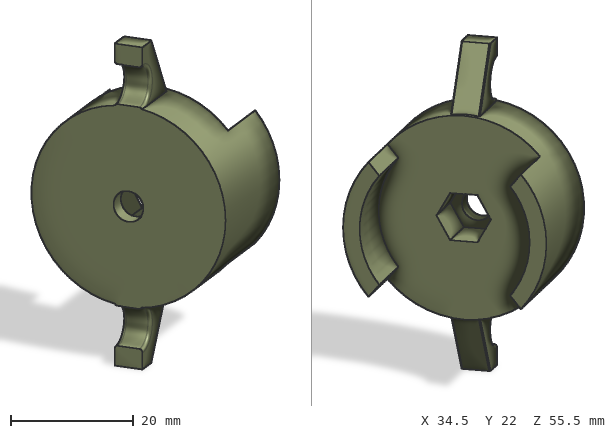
import cadquery as cq
import math

hub_radius = 17.25
wall_thickness = 2.85
inner_radius = hub_radius - wall_thickness
total_depth = 22.0
collar_depth = 10.95
floor_thickness = 2.95
bore_diameter = 5.3
pocket_across_flats = 8.0
jaw_half_height = 11.45
jaw_end_slope = math.radians(50)

ear_tip = 27.75
ear_width = 4.95
ear_tip_depth = 3.95
ear_slope = math.radians(60)
ear_root = 15.8
ear_edge_chamfer = 0.195
notch_radius = 3.45
notch_center = 20.8
notch_edge_radius = 0.55


def cylinder_along_y(radius, start, end):
    return (
        cq.Workplane("XZ", origin=(0, start, 0))
        .circle(radius)
        .extrude(start - end)
    )


def make_hub():
    """Solid collar carrying a hollow ring behind it, with a bore that opens into a hexagonal pocket."""
    hub = cylinder_along_y(hub_radius, 0, total_depth)
    cavity = cylinder_along_y(inner_radius, collar_depth, total_depth)
    bore = cylinder_along_y(bore_diameter / 2, 0, collar_depth)
    pocket = (
        cq.Workplane("XZ", origin=(0, floor_thickness, 0))
        .polygon(6, pocket_across_flats / math.cos(math.radians(30)))
        .extrude(floor_thickness - collar_depth)
    )
    return hub.cut(cavity).cut(bore).cut(pocket)


def make_jaw_gap():
    """Upper wedge that opens the ring, its flanks meeting below the hub axis."""
    corner_x = math.sqrt(hub_radius**2 - jaw_half_height**2)
    apex_z = jaw_half_height - corner_x * math.tan(jaw_end_slope)
    top_z = 2 * hub_radius
    top_x = (top_z - apex_z) / math.tan(jaw_end_slope)
    return (
        cq.Workplane("XZ", origin=(0, collar_depth, 0))
        .polyline([(0, apex_z), (top_x, top_z), (-top_x, top_z)])
        .close()
        .extrude(collar_depth - total_depth)
    )


def make_upper_ear():
    root_depth = ear_tip_depth + (ear_tip - ear_root) / math.tan(ear_slope)
    ear = (
        cq.Workplane("YZ")
        .polyline([(0, ear_root), (0, ear_tip), (ear_tip_depth, ear_tip), (root_depth, ear_root)])
        .close()
        .extrude(ear_width / 2, both=True)
    )
    slope_box = cq.selectors.BoxSelector(
        (-ear_width, ear_tip_depth, ear_root),
        (ear_width, root_depth, ear_tip),
    )
    ear = ear.edges(slope_box).edges("not |X").chamfer(ear_edge_chamfer)
    notch = (
        cq.Workplane("YZ")
        .center(0, notch_center)
        .circle(notch_radius)
        .extrude(ear_width, both=True)
    )
    return ear.cut(notch).edges("%CIRCLE").fillet(notch_edge_radius)


upper_gap = make_jaw_gap()
upper_ear = make_upper_ear()

result = (
    make_hub()
    .cut(upper_gap)
    .cut(upper_gap.mirror("XY"))
    .union(upper_ear)
    .union(upper_ear.mirror("XY"))
)